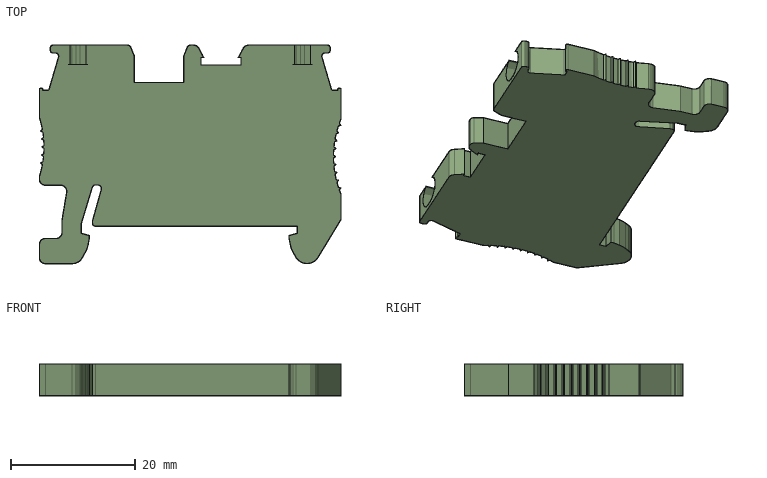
import cadquery as cq
import math

LENGTH = 48.65
HEIGHT = 35.25
THICKNESS = 5.15

LIP_TOP = 28.3
LIP_WIDTH = 0.6
LIP_ROUND = 0.25
SHELF_LEVEL = 27.95
SHELF_END = 1.5
NECK_INSET = 3.25
HOOK_UNDERSIDE = 33.95
HOOK_INSET = 1.75
HOOK_ROUND = 0.5
NECK_ROUND = 0.5

SLOT_LEFT = 15.3
SLOT_RIGHT = 23.25
SLOT_FLOOR = 29.25
LEAD_IN_BOTTOM = 33.45
LEAD_IN_WIDTH = 0.75
LEAD_IN_ROUND = 0.6

RECESS_LEFT = 26.05
RECESS_RIGHT = 32.5
RECESS_FLOOR = 32.05
BARB_BOTTOM = 33.2
BARB_REACH = 0.45
BARB_LEAN = 1.05
BARB_ROUND = 1.05

BOTTOM_EDGE = 6.05
RAIL_LEFT = 6.75
RAIL_RIGHT = 41.55
HOOK_ROOT = 4.9
FOOT_TIP_REACH = 1.3
FOOT_TIP_TOP = 4.55
FOOT_TIP_BOTTOM = 4.1
FOOT_BEND_REACH = 0.95
FOOT_BEND_LEVEL = 2.4
FOOT_BEND_ROUND = 3.9

TOE_X = 43.1
TOE_CORNER_DEPTH = 2.0
TOE_ROUND = 2.1
SLOPE_TOP = 7.15

RELIEF_TOP = 12.7
RELIEF_TOP_LEFT = 8.65
RELIEF_TOP_RIGHT = 10.15
RELIEF_ROUND = 0.6
RELIEF_BEND = 6.4
RELIEF_EXIT = 8.55
RELIEF_EXIT_BEND = 6.95
RELIEF_EXIT_ROUND = 0.5
SOLE_END = 6.35
SOLE_ROUND = 1.85
LATCH_TOP = 4.1
LATCH_ROUND = 0.95
LEG_OUTER = 3.65
LEG_BEND = 7.1
LEG_TOP_OUTER = 4.55
LEG_ROUND = 0.95
BODY_UNDERSIDE = 12.65
BODY_ROUND = 0.95

LEFT_GRIP_CENTRE = 18.8
LEFT_GRIP_LENGTH = 9.45
LEFT_GRIP_DEPTH = 0.75
LEFT_RIDGES = 5
RIGHT_GRIP_CENTRE = 17.25
RIGHT_GRIP_LENGTH = 12.15
RIGHT_GRIP_DEPTH = 1.2
RIGHT_RIDGES = 9
RIDGE_PITCH = 1.3
RIDGE_HEIGHT = 0.35
RIDGE_WIDTH = 0.6
RIDGE_ROOT = 0.1

BORE_SPACING = 36.2
BORE_LENGTH = 3.1
BORE_RADIUS = 2.3
BORE_MOUTH = 2.55
BORE_FLAT = 0.6


def mirrored(points):
    """Mirror (x, y, radius) corners about the middle of the length, keeping the travel direction."""
    return [(LENGTH - x, y, r) for x, y, r in reversed(points)]


def rounded_outline(corners):
    """Closed wire through (x, y, radius) corners, each rounded by an arc unless its radius is 0."""
    path = None
    for i, (x, y, radius) in enumerate(corners):
        before = cq.Vector(*corners[i - 1][:2])
        after = cq.Vector(*corners[(i + 1) % len(corners)][:2])
        corner = cq.Vector(x, y)
        back = (before - corner).normalized()
        ahead = (after - corner).normalized()
        half_angle = back.getAngle(ahead) / 2
        setback = radius / math.tan(half_angle)
        start = corner + back * setback
        if path is None:
            path = cq.Workplane("XY").moveTo(start.x, start.y)
        else:
            path = path.lineTo(start.x, start.y)
        if radius > 0:
            bisector = (back + ahead).normalized()
            middle = corner + bisector * (radius / math.sin(half_angle) - radius)
            end = corner + ahead * setback
            path = path.threePointArc((middle.x, middle.y), (end.x, end.y))
    return path.close()


def plate():
    """Housing plate with its whole outline except the finger grips, listed clockwise."""
    left_shoulder = [
        (0, LIP_TOP, LIP_ROUND),
        (LIP_WIDTH, LIP_TOP, LIP_ROUND),
        (LIP_WIDTH, SHELF_LEVEL, 0),
        (SHELF_END, SHELF_LEVEL, LIP_ROUND),
        (NECK_INSET, HOOK_UNDERSIDE, NECK_ROUND),
        (HOOK_INSET, HOOK_UNDERSIDE, HOOK_ROUND),
        (HOOK_INSET, HEIGHT, HOOK_ROUND),
    ]
    slot = [
        (SLOT_LEFT - LEAD_IN_WIDTH, HEIGHT, LEAD_IN_ROUND),
        (SLOT_LEFT, LEAD_IN_BOTTOM, 0),
        (SLOT_LEFT, SLOT_FLOOR, 0),
        (SLOT_RIGHT, SLOT_FLOOR, 0),
        (SLOT_RIGHT, LEAD_IN_BOTTOM, 0),
        (SLOT_RIGHT + LEAD_IN_WIDTH, HEIGHT, LEAD_IN_ROUND),
    ]
    recess = [
        (RECESS_LEFT + BARB_REACH - BARB_LEAN, HEIGHT, BARB_ROUND),
        (RECESS_LEFT + BARB_REACH, BARB_BOTTOM, 0),
        (RECESS_LEFT, BARB_BOTTOM, 0),
        (RECESS_LEFT, RECESS_FLOOR, 0),
        (RECESS_RIGHT, RECESS_FLOOR, 0),
        (RECESS_RIGHT, BARB_BOTTOM, 0),
        (RECESS_RIGHT - BARB_REACH, BARB_BOTTOM, 0),
        (RECESS_RIGHT - BARB_REACH + BARB_LEAN, HEIGHT, BARB_ROUND),
    ]
    right_foot = [
        (LENGTH, SLOPE_TOP, 0),
        (TOE_X, -TOE_CORNER_DEPTH, TOE_ROUND),
        (RAIL_RIGHT - FOOT_BEND_REACH, FOOT_BEND_LEVEL, FOOT_BEND_ROUND),
        (RAIL_RIGHT - FOOT_TIP_REACH, FOOT_TIP_BOTTOM, 0),
        (RAIL_RIGHT - FOOT_TIP_REACH, FOOT_TIP_TOP, 0),
        (RAIL_RIGHT, HOOK_ROOT, 0),
        (RAIL_RIGHT, BOTTOM_EDGE, 0),
    ]
    relief_slot = [
        (RELIEF_EXIT, BOTTOM_EDGE, RELIEF_EXIT_ROUND),
        (RELIEF_EXIT, RELIEF_EXIT_BEND, 0),
        (RELIEF_TOP_RIGHT, RELIEF_TOP, RELIEF_ROUND),
        (RELIEF_TOP_LEFT, RELIEF_TOP, RELIEF_ROUND),
        (RAIL_LEFT, RELIEF_BEND, 0),
    ]
    left_foot = [
        (RAIL_LEFT, HOOK_ROOT, 0),
        (RAIL_LEFT + FOOT_TIP_REACH, FOOT_TIP_TOP, 0),
        (RAIL_LEFT + FOOT_TIP_REACH, FOOT_TIP_BOTTOM, 0),
        (RAIL_LEFT + FOOT_BEND_REACH, FOOT_BEND_LEVEL, FOOT_BEND_ROUND),
        (SOLE_END, 0, SOLE_ROUND),
        (0, 0, LATCH_ROUND),
        (0, LATCH_TOP, LATCH_ROUND),
        (LEG_OUTER, LATCH_TOP, LEG_ROUND),
        (LEG_OUTER, LEG_BEND, 0),
        (LEG_TOP_OUTER, BODY_UNDERSIDE, LEG_ROUND),
        (0, BODY_UNDERSIDE, BODY_ROUND),
    ]
    top = left_shoulder + slot + recess + mirrored(left_shoulder)
    bottom = right_foot + relief_slot + left_foot
    return rounded_outline(top + bottom).extrude(THICKNESS)


def add_grip(body, side_x, inward, centre_y, length, depth, ridges):
    """Hollow the side at side_x with a shallow arc and stand radial ridges on it (inward is the X sign)."""
    radius = (length**2 / 4 + depth**2) / (2 * depth)
    axis_x = side_x + inward * (depth - radius)
    hollow = cq.Workplane("XY").center(axis_x, centre_y).circle(radius).extrude(THICKNESS)
    body = body.cut(hollow)
    for i in range(ridges):
        turn = (i - (ridges - 1) / 2) * RIDGE_PITCH / radius
        ridge = (
            cq.Workplane("XY")
            .polyline([
                (radius + RIDGE_ROOT, -RIDGE_WIDTH / 2),
                (radius - RIDGE_HEIGHT, 0),
                (radius + RIDGE_ROOT, RIDGE_WIDTH / 2),
            ])
            .close()
            .extrude(THICKNESS)
            .rotate((0, 0, 0), (0, 0, 1), math.degrees(turn))
        )
        if inward < 0:
            ridge = ridge.mirror("YZ")
        body = body.union(ridge.translate((axis_x, centre_y, 0)))
    return body


def wire_bore(x):
    """Cutter for one bore entering from the top edge, an oblong whose floor is BORE_FLAT wide."""
    mouth_overhang = (BORE_MOUTH - BORE_FLAT) / 2
    axis_z = THICKNESS - math.sqrt(BORE_RADIUS**2 - mouth_overhang**2)
    return (
        cq.Workplane("XZ", origin=(x, HEIGHT, axis_z))
        .slot2D(BORE_FLAT + 2 * BORE_RADIUS, 2 * BORE_RADIUS)
        .extrude(BORE_LENGTH)
    )


result = plate()
result = add_grip(result, 0, 1, LEFT_GRIP_CENTRE, LEFT_GRIP_LENGTH, LEFT_GRIP_DEPTH, LEFT_RIDGES)
result = add_grip(
    result, LENGTH, -1, RIGHT_GRIP_CENTRE, RIGHT_GRIP_LENGTH, RIGHT_GRIP_DEPTH, RIGHT_RIDGES
)
for side in (-1, 1):
    result = result.cut(wire_bore(LENGTH / 2 + side * BORE_SPACING / 2))